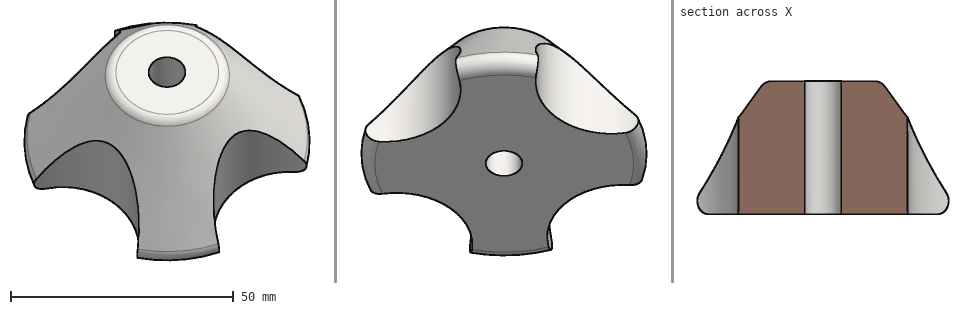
import cadquery as cq
import math

height = 30.0
outer_radius = 32.05
top_flat_radius = 11.55
edge_radius = 3.0
bore_diameter = 8.2
scallop_radius = 17.0
scallop_offset = 36.05
scallop_count = 4

bottom_center_r = outer_radius - edge_radius
bottom_center_z = edge_radius
top_center_r = top_flat_radius
top_center_z = height - edge_radius

cone_normal = math.atan2(bottom_center_r - top_center_r, top_center_z - bottom_center_z)


def rim_point(center_r, center_z, angle):
    """Point on a rim rounding at an elevation angle in radians."""
    return (
        center_r + edge_radius * math.cos(angle),
        center_z + edge_radius * math.sin(angle),
    )


def make_body():
    """Revolve the cone with its rounded rims about Z."""
    bottom_middle = (cone_normal - math.pi / 2) / 2
    top_middle = (cone_normal + math.pi / 2) / 2
    profile = (
        cq.Workplane("XZ")
        .lineTo(bottom_center_r, 0)
        .threePointArc(
            rim_point(bottom_center_r, bottom_center_z, bottom_middle),
            rim_point(bottom_center_r, bottom_center_z, cone_normal),
        )
        .lineTo(*rim_point(top_center_r, top_center_z, cone_normal))
        .threePointArc(
            rim_point(top_center_r, top_center_z, top_middle),
            (top_flat_radius, height),
        )
        .lineTo(0, height)
        .close()
    )
    return profile.revolve(360, (0, 0, 0), (0, 1, 0))


def make_scallops():
    """Vertical cylinders that cut the finger grips between the lobes."""
    return (
        cq.Workplane("XY")
        .polarArray(scallop_offset, 0, 360, scallop_count)
        .circle(scallop_radius)
        .extrude(height)
    )


def make_bore():
    """Through hole on the knob axis."""
    return cq.Workplane("XY").circle(bore_diameter / 2).extrude(height)


result = make_body().cut(make_scallops()).cut(make_bore())